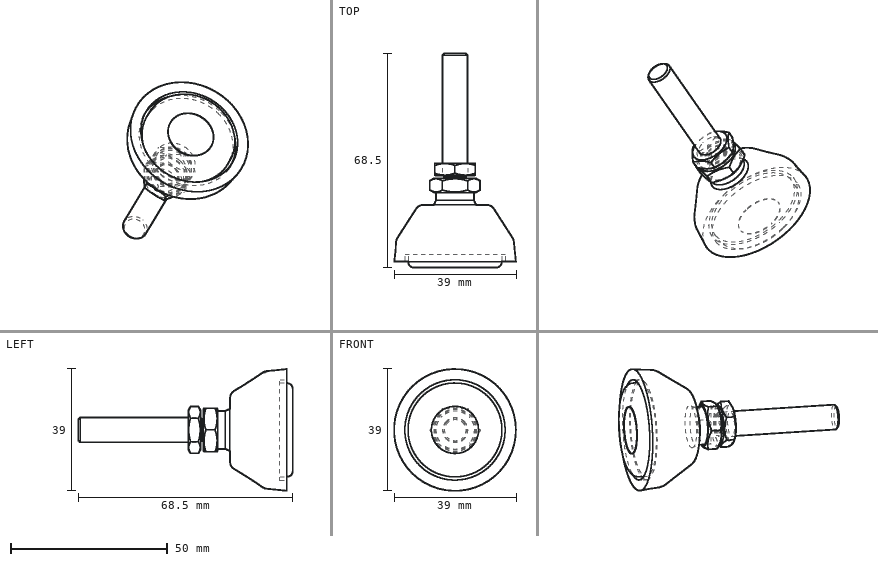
import cadquery as cq
import math

TOTAL_LENGTH = 68.5

FOOT_RIM_DIAMETER = 39.0
FOOT_RIM_RADIUS = FOOT_RIM_DIAMETER / 2
PAD_HEIGHT = 1.9
PAD_RADIUS = 15.0
PAD_FILLET = 1.9
GROOVE_RADIUS = 16.0
GROOVE_DEPTH = 2.4
RECESS_RADIUS = 7.55
RECESS_DEPTH = 0.2
FOOT_TOP = 20.1
SHOULDER_RADIUS = 18.8
SHOULDER_HEIGHT = 9.0
CROWN_RADIUS = 11.65
SHOULDER_FILLET = 2.75
CROWN_FILLET = 2.75

ROD_DIAMETER = 8.0
ROD_RADIUS = ROD_DIAMETER / 2
ROD_CHAMFER = 0.6
FLARE_RADIUS = 6.8
FLARE_HEIGHT = 1.45
COLLAR_RADIUS = 6.1
COLLAR_HEIGHT = 2.5
STUD_HEX_FLATS = 14.0
STUD_HEX_HEIGHT = 4.6
NECK_RADIUS = 3.4
NECK_HEIGHT = 0.4

NUT_FLATS = 13.0
NUT_HEIGHT = 4.05
NUT_GAP = 0.8

HEX_CHAMFER_ANGLE = 30.0
HEX_FACE_RATIO = 0.95

COLLAR_BOTTOM = FOOT_TOP + FLARE_HEIGHT
STUD_HEX_BOTTOM = COLLAR_BOTTOM + COLLAR_HEIGHT
STUD_HEX_TOP = STUD_HEX_BOTTOM + STUD_HEX_HEIGHT
NECK_TOP = STUD_HEX_TOP + NECK_HEIGHT
ROD_BOTTOM = NECK_TOP + ROD_RADIUS - NECK_RADIUS
NUT_BOTTOM = STUD_HEX_TOP + NUT_GAP


def revolve_about_y(points):
    """Revolve a closed (radius, height) outline about the Y axis."""
    return cq.Workplane("XY").polyline(points).close().revolve(360, (0, 0, 0), (0, 1, 0))


def cylinder(radius, bottom, height):
    """Cylinder along +Y starting at Y = bottom."""
    return cq.Workplane("XZ", origin=(0, bottom, 0)).circle(radius).extrude(-height)


def chamfered_hexagon(flats, bottom, height, turn):
    """Hexagon along +Y with conical corner chamfers at both ends, turned about its axis."""
    corner_diameter = flats / math.cos(math.pi / 6)
    corner_radius = corner_diameter / 2
    face_radius = HEX_FACE_RATIO * flats / 2
    drop = (corner_radius - face_radius) * math.tan(math.radians(HEX_CHAMFER_ANGLE))
    top = bottom + height
    prism = cq.Workplane("XZ", origin=(0, bottom, 0)).polygon(6, corner_diameter).extrude(-height)
    envelope = revolve_about_y([
        (0, bottom),
        (face_radius, bottom),
        (corner_radius, bottom + drop),
        (corner_radius, top - drop),
        (face_radius, top),
        (0, top),
    ])
    return prism.rotate((0, 0, 0), (0, 1, 0), turn).intersect(envelope)


def make_foot():
    """Conical foot with a round pad below, a groove around the pad and a shallow centre recess."""
    shell = revolve_about_y([
        (0, PAD_HEIGHT),
        (FOOT_RIM_RADIUS, PAD_HEIGHT),
        (SHOULDER_RADIUS, SHOULDER_HEIGHT),
        (CROWN_RADIUS, FOOT_TOP),
        (0, FOOT_TOP),
    ])
    shoulder_edge_centre = (0, SHOULDER_HEIGHT, 0)
    shell = shell.edges(cq.selectors.NearestToPointSelector(shoulder_edge_centre)).fillet(SHOULDER_FILLET)
    shell = shell.faces(">Y").edges().fillet(CROWN_FILLET)
    groove_top = PAD_HEIGHT + GROOVE_DEPTH
    shell = shell.cut(cylinder(GROOVE_RADIUS, PAD_HEIGHT, GROOVE_DEPTH))
    pad = cylinder(PAD_RADIUS, 0, groove_top).faces("<Y").edges().fillet(PAD_FILLET)
    return shell.union(pad).cut(cylinder(RECESS_RADIUS, 0, RECESS_DEPTH))


def make_stud():
    """Rod with a relief neck above a spanner hexagon, and a collar flaring out onto the foot."""
    turned = revolve_about_y([
        (0, FOOT_TOP),
        (FLARE_RADIUS, FOOT_TOP),
        (COLLAR_RADIUS, COLLAR_BOTTOM),
        (COLLAR_RADIUS, STUD_HEX_BOTTOM),
        (NECK_RADIUS, STUD_HEX_BOTTOM),
        (NECK_RADIUS, NECK_TOP),
        (ROD_RADIUS, ROD_BOTTOM),
        (ROD_RADIUS, TOTAL_LENGTH - ROD_CHAMFER),
        (ROD_RADIUS - ROD_CHAMFER, TOTAL_LENGTH),
        (0, TOTAL_LENGTH),
    ])
    return turned.union(chamfered_hexagon(STUD_HEX_FLATS, STUD_HEX_BOTTOM, STUD_HEX_HEIGHT, 0))


def make_lock_nut(stud):
    """Hexagon nut, corners towards +Z and -Z, bored to fit the stud."""
    return chamfered_hexagon(NUT_FLATS, NUT_BOTTOM, NUT_HEIGHT, 30).cut(stud)


foot = make_foot()
stud = make_stud()
lock_nut = make_lock_nut(stud)

result = cq.Compound.makeCompound([foot.val(), stud.val(), lock_nut.val()])